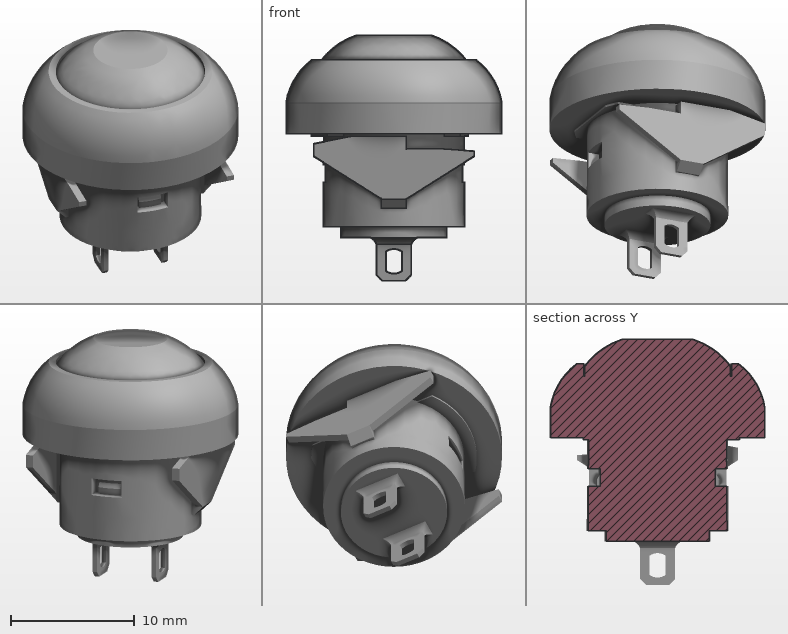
import cadquery as cq
import math

total_height = 19.9
rim_z = 17.91
cap_shoulder_z = 14.43
cap_bottom_z = 11.9
latch_top_z = 11.72
body_bottom_z = 4.38
collar_bottom_z = 3.5

cap_radius = 17.5 / 2
cap_mid_radius = 8.04
cap_mid_z = 16.34
rim_radius = 6.63
well_radius = 12.1 / 2
well_floor_z = 16.92
button_radius = 12.0 / 2
button_edge_z = 17.7
button_mid_radius = 4.65
button_mid_z = 19.05
button_flat_radius = 3.0

body_top_radius = 11.4 / 2
body_bottom_radius = 11.48 / 2
collar_radius = 8.6 / 2

ring_radius = 6.7
ring_width = 8.0
ring_flat_x = 6.03

window_width = 2.6
window_bottom_z = 8.0
window_top_z = 9.4
window_floor_radius = 9.55 / 2
snap_width = 1.9
snap_radius = 10.0 / 2
snap_shoulder_z = 8.54
snap_top_z = 8.92

wing_outer_y = 6.63
wing_thickness = 0.62
wing_reach = 6.5
wing_tip_bottom_z = 10.09
wing_bottom_z = 6.63
left_tip_top_z = 11.1
left_slope_x = -3.38
right_step_z = 10.69
right_slope_x = 3.9
right_tip_top_z = 10.5
stem_half_width = 1.01
stem_bottom_z = 5.9
stem_root_y = 4.98

terminal_y = 2.55
terminal_half_width = 1.41
terminal_half_thickness = 0.2
terminal_chamfer = 0.48
flare_start_z = 2.97
flare_reach = 0.5
flare_mid_reach = 0.18
flare_mid_z = 3.26
eyelet_half_width = 0.64
eyelet_bottom_z = 0.6
eyelet_top_z = 2.57
eyelet_end_radius = 2.2 / 2


def make_cap():
    """Domed cap with a well that leaves a thin gap around the button."""
    return (
        cq.Workplane("XZ")
        .moveTo(0, cap_bottom_z)
        .lineTo(cap_radius, cap_bottom_z)
        .lineTo(cap_radius, cap_shoulder_z)
        .threePointArc((cap_mid_radius, cap_mid_z), (rim_radius, rim_z))
        .lineTo(well_radius, rim_z)
        .lineTo(well_radius, well_floor_z)
        .lineTo(0, well_floor_z)
        .close()
        .revolve(360, (0, 0), (0, 1))
    )


def make_button():
    """Domed button with a flat top, standing on the floor of the well."""
    return (
        cq.Workplane("XZ")
        .moveTo(0, well_floor_z)
        .lineTo(button_radius, well_floor_z)
        .lineTo(button_radius, button_edge_z)
        .threePointArc((button_mid_radius, button_mid_z), (button_flat_radius, total_height))
        .lineTo(0, total_height)
        .close()
        .revolve(360, (0, 0), (0, 1))
    )


def make_body():
    """Slightly tapered body on a narrower collar."""
    return (
        cq.Workplane("XZ")
        .moveTo(0, collar_bottom_z)
        .lineTo(collar_radius, collar_bottom_z)
        .lineTo(collar_radius, body_bottom_z)
        .lineTo(body_bottom_radius, body_bottom_z)
        .lineTo(body_top_radius, cap_bottom_z)
        .lineTo(0, cap_bottom_z)
        .close()
        .revolve(360, (0, 0), (0, 1))
    )


def make_locating_ring():
    """Thin disc under the cap, trimmed to a band with a flat at +X."""
    height = cap_bottom_z - latch_top_z
    disc = cq.Workplane("XY", origin=(0, 0, latch_top_z)).circle(ring_radius).extrude(height)
    band_length = ring_radius + ring_flat_x
    band_center_x = (ring_flat_x - ring_radius) / 2
    band = (
        cq.Workplane("XY", origin=(band_center_x, 0, latch_top_z))
        .rect(band_length, ring_width)
        .extrude(height)
    )
    return disc.intersect(band)


def make_side_band(width, bottom_z, top_z):
    """Block through the body along X, used to bound the window features."""
    band = cq.Workplane("XY", origin=(0, 0, bottom_z)).rect(2 * cap_radius, width)
    return band.extrude(top_z - bottom_z)


def cut_snap_windows(part):
    """Cut both windows to a round floor, each keeping a ramped snap on it."""
    core = (
        cq.Workplane("XY", origin=(0, 0, window_bottom_z))
        .circle(window_floor_radius)
        .extrude(window_top_z - window_bottom_z)
    )
    snap_ring = (
        cq.Workplane("XZ")
        .moveTo(0, window_bottom_z)
        .lineTo(snap_radius, window_bottom_z)
        .lineTo(snap_radius, snap_shoulder_z)
        .lineTo(window_floor_radius, snap_top_z)
        .lineTo(0, snap_top_z)
        .close()
        .revolve(360, (0, 0), (0, 1))
    )
    snaps = snap_ring.intersect(make_side_band(snap_width, window_bottom_z, snap_top_z))
    windows = make_side_band(window_width, window_bottom_z, window_top_z)
    return part.cut(windows.cut(core).cut(snaps))


def make_latch():
    """Wing plate on the -Y side, joined to the body by a stem with a sloped foot."""
    wing_inner_y = wing_outer_y - wing_thickness
    wing = (
        cq.Workplane("XZ", origin=(0, -wing_inner_y, 0))
        .polyline([
            (-stem_half_width, wing_bottom_z),
            (stem_half_width, wing_bottom_z),
            (wing_reach, wing_tip_bottom_z),
            (wing_reach, right_tip_top_z),
            (right_slope_x, right_step_z),
            (stem_half_width, right_step_z),
            (stem_half_width, latch_top_z),
            (left_slope_x, latch_top_z),
            (-wing_reach, left_tip_top_z),
            (-wing_reach, wing_tip_bottom_z),
        ])
        .close()
        .extrude(wing_thickness)
    )
    foot_y = wing_outer_y - (wing_bottom_z - stem_bottom_z)
    stem = (
        cq.Workplane("YZ")
        .polyline([
            (-stem_root_y, latch_top_z),
            (-wing_outer_y, latch_top_z),
            (-wing_outer_y, wing_bottom_z),
            (-foot_y, stem_bottom_z),
            (-stem_root_y, stem_bottom_z),
        ])
        .close()
        .extrude(stem_half_width, both=True)
    )
    return wing.union(stem)


def make_terminal_profile(plane, half_width):
    """Terminal outline that flares into the collar, extruded to both sides."""
    half_mid = half_width + flare_mid_reach
    half_root = half_width + flare_reach
    return (
        cq.Workplane(plane)
        .moveTo(-half_width, 0)
        .lineTo(half_width, 0)
        .lineTo(half_width, flare_start_z)
        .threePointArc((half_mid, flare_mid_z), (half_root, collar_bottom_z))
        .lineTo(-half_root, collar_bottom_z)
        .threePointArc((-half_mid, flare_mid_z), (-half_width, flare_start_z))
        .close()
        .extrude(collar_radius, both=True)
    )


def make_terminal():
    """Flat solder tab with a chamfered tip, a flared root and an eyelet."""
    broad = make_terminal_profile("XZ", terminal_half_width)
    thin = make_terminal_profile("YZ", terminal_half_thickness)
    tab = broad.intersect(thin).faces("<Z").edges("|Y").chamfer(terminal_chamfer)
    end_rise = eyelet_end_radius - math.sqrt(eyelet_end_radius**2 - eyelet_half_width**2)
    eyelet = (
        cq.Workplane("XZ")
        .moveTo(-eyelet_half_width, eyelet_bottom_z + end_rise)
        .threePointArc((0, eyelet_bottom_z), (eyelet_half_width, eyelet_bottom_z + end_rise))
        .lineTo(eyelet_half_width, eyelet_top_z - end_rise)
        .threePointArc((0, eyelet_top_z), (-eyelet_half_width, eyelet_top_z - end_rise))
        .close()
        .extrude(collar_radius, both=True)
    )
    return tab.cut(eyelet)


housing = cut_snap_windows(make_body())
result = housing.union(make_cap()).union(make_button()).union(make_locating_ring())

latch = make_latch()
result = result.union(latch).union(latch.mirror("XZ"))

for side in (-1, 1):
    result = result.union(make_terminal().translate((0, side * terminal_y, 0)))